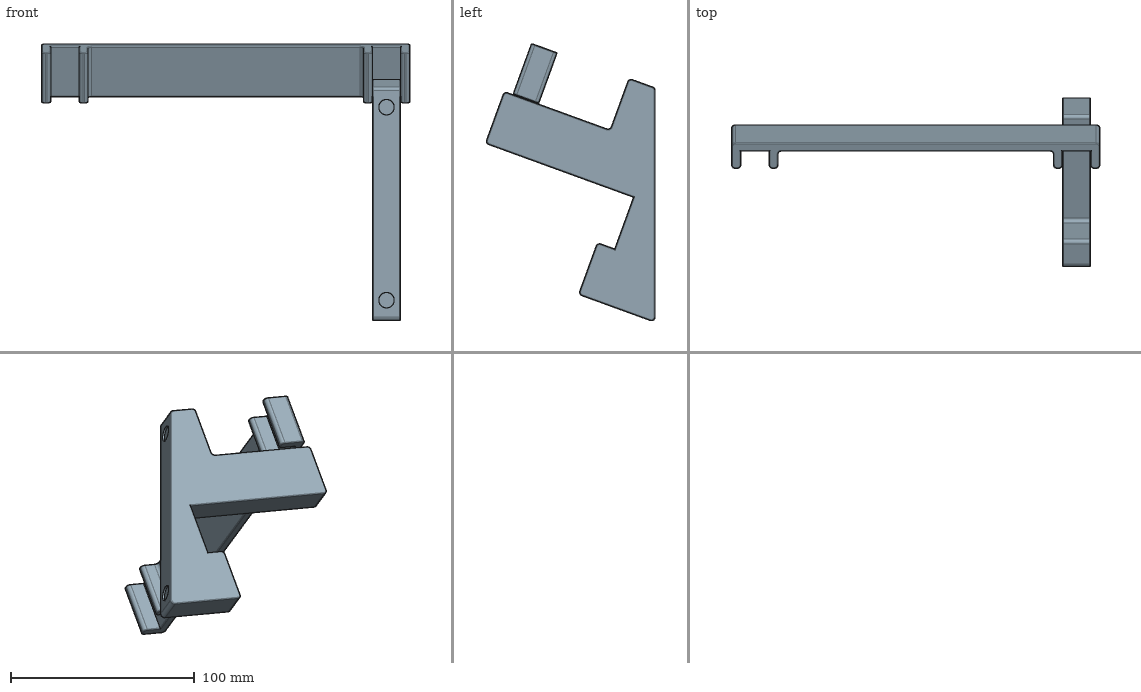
import cadquery as cq
import math

TILT = 20.0
BRACKET_HEIGHT = 119.9
STEP = BRACKET_HEIGHT / 4
EDGE_RADIUS = 0.5

BRACKET_WIDTH = 15.0
ARM_END = 120.0
PRONG_BACK = 58.7
FOOT_END = 44.3
NOTCH_FLOOR = 34.3
ARM_BOTTOM = 2 * STEP
ARM_TOP = 3 * STEP
CORNER_RADIUS = 2.0

RECESS_DIAMETER = 8.5
RECESS_DEPTH = 1.0
RECESS_LOW = 12.0
RECESS_PITCH = 105.0

RAIL_LENGTH = 200.5
RAIL_DEPTH = 14.8
RAIL_HEIGHT = 29.3
RAIL_CLEARANCE = 0.5
RAIL_BACK = 115.0
PLATE_THICKNESS = 4.8
OUTER_RIB = 5.0
INNER_RIB = 4.8
CHANNEL_WIDTH = 15.5
RAIL_RADIUS = 2.0

BRACKET_CENTRE_X = RAIL_LENGTH - OUTER_RIB - CHANNEL_WIDTH / 2


def tilted(body):
    """Turn a body from the level arm frame to its leaning place."""
    return body.rotate((0, 0, 0), (1, 0, 0), TILT)


def make_bracket():
    front_slope = math.tan(math.radians(TILT))
    outer_corners = {
        "front bottom": (0, 0),
        "foot bottom": (FOOT_END, 0),
        "foot top": (FOOT_END, STEP),
        "arm end bottom": (ARM_END, ARM_BOTTOM),
        "arm end top": (ARM_END, ARM_TOP),
        "prong back": (PRONG_BACK, BRACKET_HEIGHT),
        "prong front": (BRACKET_HEIGHT * front_slope, BRACKET_HEIGHT),
    }
    prong_root = (PRONG_BACK, ARM_TOP)
    outline = [
        outer_corners["front bottom"],
        outer_corners["foot bottom"],
        outer_corners["foot top"],
        (NOTCH_FLOOR, STEP),
        (NOTCH_FLOOR, ARM_BOTTOM),
        outer_corners["arm end bottom"],
        outer_corners["arm end top"],
        prong_root,
        outer_corners["prong back"],
        outer_corners["prong front"],
    ]

    body = (
        cq.Workplane("YZ")
        .polyline(outline)
        .close()
        .extrude(BRACKET_WIDTH / 2, both=True)
    )
    for v, w in [*outer_corners.values(), prong_root]:
        body = body.edges(cq.selectors.NearestToPointSelector((0, v, w))).fillet(CORNER_RADIUS)
    body = body.faces("<X or >X").edges().fillet(EDGE_RADIUS)
    body = tilted(body).translate((BRACKET_CENTRE_X, 0, 0))
    return cut_recesses(body)


def cut_recesses(body):
    for height in (RECESS_LOW, RECESS_LOW + RECESS_PITCH):
        recess = cq.Solid.makeCylinder(
            RECESS_DIAMETER / 2,
            RECESS_DEPTH,
            cq.Vector(BRACKET_CENTRE_X, 0, height),
            cq.Vector(0, 1, 0),
        )
        body = body.cut(recess)
    return body


def make_rail():
    plate_front = RAIL_BACK - PLATE_THICKNESS
    rib_tip = RAIL_BACK - RAIL_DEPTH
    inner_left = OUTER_RIB + CHANNEL_WIDTH + INNER_RIB
    inner_right = RAIL_LENGTH - inner_left

    rail_bottom = ARM_TOP + RAIL_CLEARANCE
    base = cq.Workplane("XY").workplane(offset=rail_bottom)
    body = base.moveTo(0, rib_tip).rect(RAIL_LENGTH, RAIL_DEPTH, centered=False).extrude(RAIL_HEIGHT)
    gaps = [
        (OUTER_RIB, OUTER_RIB + CHANNEL_WIDTH),
        (inner_left, inner_right),
        (inner_right + INNER_RIB, RAIL_LENGTH - OUTER_RIB),
    ]
    for start, end in gaps:
        gap = (
            base.moveTo(start, rib_tip)
            .rect(end - start, RAIL_DEPTH - PLATE_THICKNESS, centered=False)
            .extrude(RAIL_HEIGHT)
        )
        body = body.cut(gap)

    tips = [(x, rib_tip) for gap in gaps for x in gap]
    ends = [(x, y) for x in (0, RAIL_LENGTH) for y in (rib_tip, RAIL_BACK)]
    roots = [(x, plate_front) for x in (inner_left, inner_right)]
    middle = rail_bottom + RAIL_HEIGHT / 2
    for x, y in tips + ends + roots:
        body = body.edges(cq.selectors.NearestToPointSelector((x, y, middle))).fillet(RAIL_RADIUS)
    body = body.faces("<Z or >Z").edges().fillet(EDGE_RADIUS)
    return tilted(body)


bracket = make_bracket()
rail = make_rail()
result = cq.Compound.makeCompound([bracket.solids().val(), rail.solids().val()])